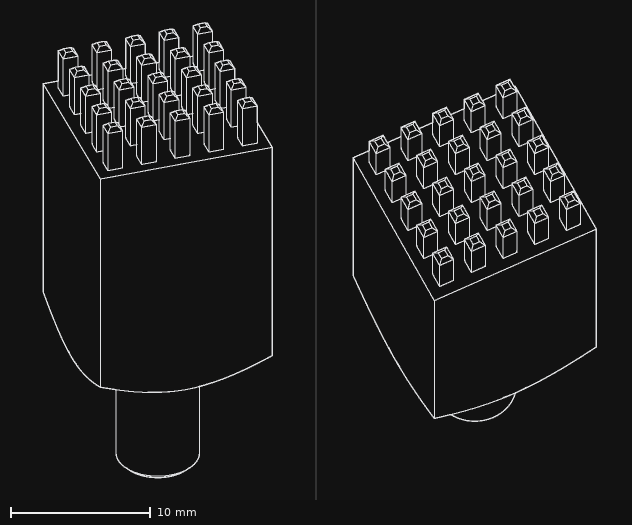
import cadquery as cq
import math

total_height = 33.0
body_width = 13.0

stud_diameter = 6.0
stud_length = 10.0
stud_chamfer = 0.43

pins_per_side = 5
pin_pitch = 2.55
pin_width = 1.12
pin_length = 3.5
pin_chamfer = 0.3

relief_angle = 30.0

body_height = total_height - stud_length - pin_length
body_bottom = stud_length
body_top = body_bottom + body_height


def make_body():
    """Square block whose lower corners are trimmed by a cone touching the side midpoints."""
    block = cq.Workplane("XY", origin=(0, 0, body_bottom)).rect(body_width, body_width).extrude(body_height)
    flat_radius = body_width / 2
    outer_radius = body_width
    cone_rise = (outer_radius - flat_radius) * math.tan(math.radians(relief_angle))
    envelope = (
        cq.Workplane("XZ")
        .moveTo(0, body_bottom)
        .lineTo(flat_radius, body_bottom)
        .lineTo(outer_radius, body_bottom + cone_rise)
        .lineTo(outer_radius, body_top)
        .lineTo(0, body_top)
        .close()
        .revolve(360, (0, 0, 0), (0, 1, 0))
    )
    return block.intersect(envelope)


def make_stud():
    """Round stud from the base up to the body, chamfered at its free end."""
    return cq.Workplane("XY").circle(stud_diameter / 2).extrude(stud_length).faces("<Z").chamfer(stud_chamfer)


def make_pins():
    """Square grid of square pins with chamfered tips."""
    return (
        cq.Workplane("XY", origin=(0, 0, body_top))
        .rarray(pin_pitch, pin_pitch, pins_per_side, pins_per_side)
        .rect(pin_width, pin_width)
        .extrude(pin_length)
        .faces(">Z")
        .chamfer(pin_chamfer)
    )


result = make_body().union(make_stud()).union(make_pins())